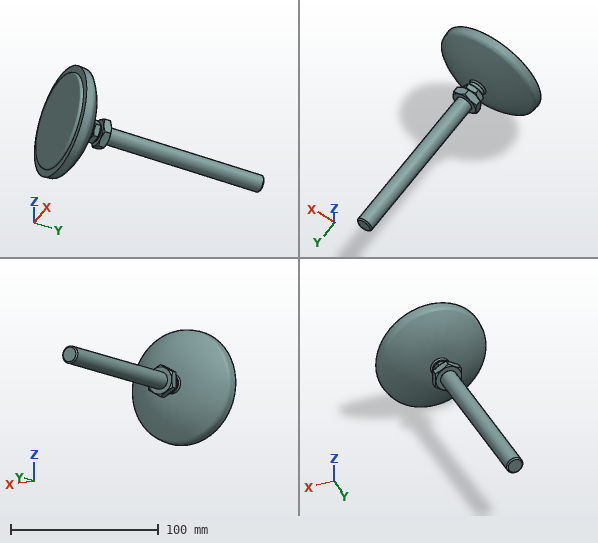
import cadquery as cq
import math


pad_top_radius = 34.4
pad_lower_radius = 34.1
pad_height = 2.0
pad_edge_radius = 1.2

rim_radius = 39.5
rim_top_radius = 39.0
foot_height = 18.2
seat_radius = 7.0
dome_arc_radius = 49.5
shoulder_fillet = 3.5

overall_length = 153.7
shank_radius = 6.0
flare_radius = 6.8
flare_height = 1.4
hex_across_flats = 14.0
hex_bottom = 24.4
hex_height = 4.5
hex_chamfer_radius = 6.9
hex_turn = 0
tip_chamfer = 1.0

nut_across_flats = 19.0
nut_height = 6.0
nut_gap = 1.1
nut_chamfer_radius = 9.3
nut_turn = 30

chamfer_slope = math.tan(math.radians(30))

rim_bottom = pad_height
dome_top = rim_bottom + foot_height
hex_top = hex_bottom + hex_height
nut_bottom = hex_top + nut_gap


def spin(profile):
    """Revolve a closed half-profile, drawn in XY, about the Y axis."""
    return profile.close().revolve(360, (0, 0, 0), (0, 1, 0))


def cylinder(radius, bottom, height):
    """Cylinder on the Y axis, rising from the given level."""
    profile = cq.Workplane("XY").moveTo(0, bottom).lineTo(radius, bottom)
    return spin(profile.lineTo(radius, bottom + height).lineTo(0, bottom + height))


def hexagon(across_flats, bottom, height, chamfer_radius, turn):
    """Hexagonal prism on the Y axis, turned in degrees, with its corners bevelled at both ends."""
    corner_radius = across_flats / math.sqrt(3)
    prism = (
        cq.Workplane("XZ", origin=(0, bottom, 0))
        .transformed(rotate=(0, 0, turn))
        .polygon(6, 2 * corner_radius)
        .extrude(-height)
    )
    bevel = (corner_radius - chamfer_radius) * chamfer_slope
    top = bottom + height
    envelope = spin(
        cq.Workplane("XY")
        .moveTo(0, bottom)
        .lineTo(chamfer_radius, bottom)
        .lineTo(corner_radius, bottom + bevel)
        .lineTo(corner_radius, top - bevel)
        .lineTo(chamfer_radius, top)
        .lineTo(0, top)
    )
    return prism.intersect(envelope)


def make_pad():
    """Slightly tapered disc with a rounded lower edge."""
    disc = spin(
        cq.Workplane("XY")
        .lineTo(pad_lower_radius, 0)
        .lineTo(pad_top_radius, pad_height)
        .lineTo(0, pad_height)
    )
    return disc.faces("<Y").edges().fillet(pad_edge_radius)


def make_foot():
    """Domed disc with a small flat seat on top for the spindle."""
    arc_centre_level = dome_top - dome_arc_radius
    end_angle = math.acos((rim_top_radius - seat_radius) / dome_arc_radius)
    rim_top = arc_centre_level + dome_arc_radius * math.sin(end_angle)
    middle_angle = (end_angle + math.pi / 2) / 2
    dome_middle = (
        seat_radius + dome_arc_radius * math.cos(middle_angle),
        arc_centre_level + dome_arc_radius * math.sin(middle_angle),
    )
    body = spin(
        cq.Workplane("XY")
        .moveTo(0, rim_bottom)
        .lineTo(rim_radius, rim_bottom)
        .lineTo(rim_top_radius, rim_top)
        .threePointArc(dome_middle, (seat_radius, dome_top))
        .lineTo(0, dome_top)
    )
    shoulder_edge = body.edges(cq.selectors.NearestToPointSelector((0, rim_top, 0)))
    return shoulder_edge.fillet(shoulder_fillet)


def make_spindle():
    """Neck, hexagon and shank, standing on the seat of the foot."""
    shaft = spin(
        cq.Workplane("XY")
        .moveTo(0, dome_top)
        .lineTo(flare_radius, dome_top)
        .lineTo(shank_radius, dome_top + flare_height)
        .lineTo(shank_radius, overall_length - tip_chamfer)
        .lineTo(shank_radius - tip_chamfer, overall_length)
        .lineTo(0, overall_length)
    )
    return shaft.union(hexagon(hex_across_flats, hex_bottom, hex_height, hex_chamfer_radius, hex_turn))


def make_nut():
    """Lock nut with flats facing +X and -X, bored to fit the shank."""
    blank = hexagon(nut_across_flats, nut_bottom, nut_height, nut_chamfer_radius, nut_turn)
    return blank.cut(cylinder(shank_radius, nut_bottom, nut_height))


pad = make_pad()
foot = make_foot()
spindle = make_spindle()
nut = make_nut()

result = cq.Compound.makeCompound([pad.val(), foot.val(), spindle.val(), nut.val()])